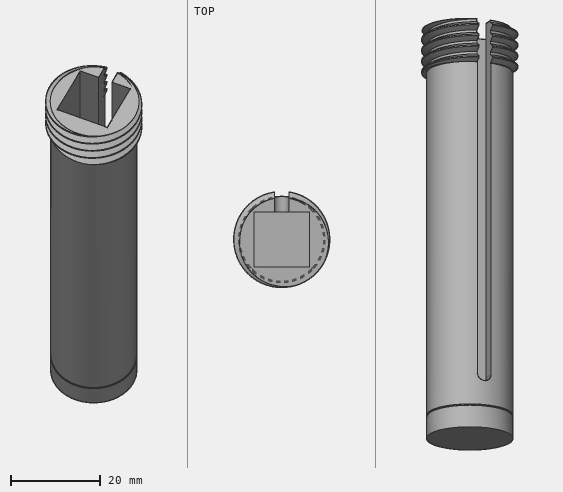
import cadquery as cq

total_height = 94.75
body_diameter = 19.3
thread_diameter = 21.5
root_diameter = 18.7
pitch = 2.5
thread_length = 4 * pitch
crest_width = 0.3
rib_base_width = 1.9
start_crest_depth = 9.7
pocket_side = 12.3
slot_width = 3.2
slot_bottom = 10.9
base_height = 5.0
groove_width = 0.3
groove_depth = 0.1

root_radius = root_diameter / 2
thread_radius = thread_diameter / 2
shoulder_z = total_height - thread_length
pocket_floor = base_height + groove_width


def cylinder(diameter, bottom, top):
    return cq.Workplane("XY").workplane(offset=bottom).circle(diameter / 2).extrude(top - bottom)


def thread_rib():
    """Right-handed V rib, run past both ends of the thread and trimmed flat."""
    embed = 0.3
    flank_slope = (rib_base_width - crest_width) / 2 / (thread_radius - root_radius)
    inner_half = rib_base_width / 2 + embed * flank_slope
    inner_radius = root_radius - embed
    extra_turns = 1
    start_z = total_height - start_crest_depth - extra_turns * pitch
    helix_height = thread_length + 2 * extra_turns * pitch
    helix = cq.Wire.makeHelix(pitch, helix_height, root_radius).translate(cq.Vector(0, 0, start_z))
    profile = cq.Workplane("XZ").polyline([
        (inner_radius, start_z - inner_half),
        (thread_radius, start_z - crest_width / 2),
        (thread_radius, start_z + crest_width / 2),
        (inner_radius, start_z + inner_half),
    ]).close()
    rib = profile.sweep(cq.Workplane(helix), isFrenet=True)
    return rib.intersect(cylinder(2 * thread_diameter, shoulder_z, total_height))


def marking_groove():
    """Shallow ring groove above the base."""
    core_diameter = body_diameter - 2 * groove_depth
    ring = cylinder(thread_diameter, base_height, pocket_floor)
    return ring.cut(cylinder(core_diameter, base_height, pocket_floor))


def square_pocket():
    depth = total_height - pocket_floor
    return cq.Workplane("XY").workplane(offset=pocket_floor).rect(pocket_side, pocket_side).extrude(depth)


def side_slot():
    """Slot through the +Y wall, open at the top and round at its lower end."""
    radius = slot_width / 2
    arc_z = slot_bottom + radius
    return (
        cq.Workplane("XZ")
        .moveTo(-radius, total_height)
        .lineTo(-radius, arc_z)
        .threePointArc((0, slot_bottom), (radius, arc_z))
        .lineTo(radius, total_height)
        .close()
        .extrude(-thread_diameter)
    )


body = cylinder(body_diameter, 0, shoulder_z)
threaded_core = cylinder(root_diameter, shoulder_z, total_height)
result = body.union(threaded_core).union(thread_rib())
result = result.cut(marking_groove()).cut(square_pocket()).cut(side_slot())